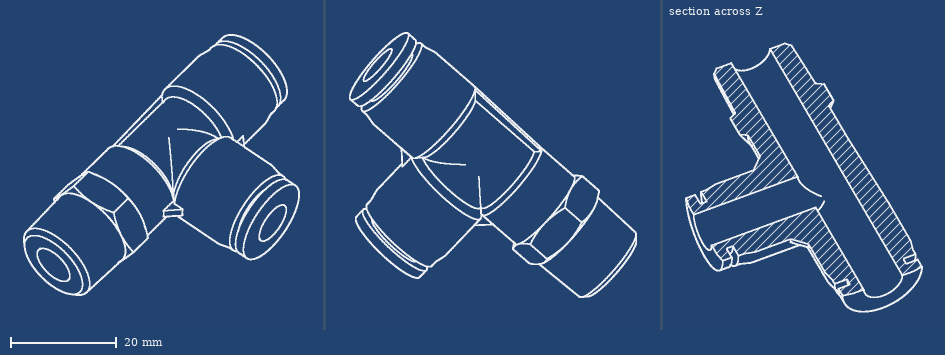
import cadquery as cq
import math

total_length = 59.75
port_reach = 25.75
branch_y = total_length - port_reach

sleeve_radius = 18.0 / 2
neck_radius = 7.5
nose_radius = 8.5
collar_radius = 8.3
collar_stem_radius = 5.9
collar_face_radius = 6.35
sleeve_straight = 9.9
sleeve_taper = 2.1
nose_length = 1.2
collar_gap = 1.25
collar_crown = 0.35

hex_across_flats = 16.95
hex_start = 11.2
hex_width = 5.85
hex_chamfer_angle = 30.0
thread_radius = 8.4
thread_taper = 1 / 16
thread_chamfer = 0.95
bore_radius = 4.0

web_thickness = 2.0
gusset_leg = 2.5

body_radius = hex_across_flats / 2
body_end = branch_y - body_radius
hex_end = hex_start + hex_width
hex_corner_radius = body_radius / math.cos(math.pi / 6)
sleeve_start = sleeve_radius


def revolve_run(profile):
    """Turn (radius, y) points around the Y axis."""
    return cq.Workplane("XY").polyline(profile).close().revolve(360, (0, 0, 0), (0, 1, 0))


def web(points):
    """Flat plate outlined in X and Y, centred on Z = 0."""
    return cq.Workplane("XY").polyline(points).close().extrude(web_thickness / 2, both=True)


def tube_port():
    """Neck, sleeve and release collar along +Y, starting at the tee centre."""
    taper_start = sleeve_start + sleeve_straight
    nose_start = taper_start + sleeve_taper
    nose_end = nose_start + nose_length
    collar_start = nose_end + collar_gap
    return revolve_run([
        (0, 0),
        (neck_radius, 0),
        (neck_radius, neck_radius),
        (sleeve_radius, sleeve_start),
        (sleeve_radius, taper_start),
        (nose_radius, nose_start),
        (nose_radius, nose_end),
        (collar_stem_radius, nose_end),
        (collar_stem_radius, collar_start),
        (collar_radius, collar_start),
        (collar_radius, port_reach - collar_crown),
        (collar_face_radius, port_reach),
        (0, port_reach),
    ])


def threaded_body():
    """Tapered thread envelope and round body up to the tee centre."""
    tip_radius = thread_radius - (hex_start - thread_chamfer) * thread_taper / 2
    return revolve_run([
        (0, 0),
        (tip_radius - thread_chamfer, 0),
        (tip_radius, thread_chamfer),
        (thread_radius, hex_start),
        (body_radius, hex_start),
        (body_radius, body_end),
        (neck_radius, branch_y - neck_radius),
        (neck_radius, branch_y),
        (0, branch_y),
    ])


def hexagon():
    """Wrench hexagon with corners on X, both faces chamfered down to the flats."""
    chamfer_height = (hex_corner_radius - body_radius) * math.tan(math.radians(hex_chamfer_angle))
    prism = (
        cq.Workplane("XZ", origin=(0, hex_start, 0))
        .polygon(6, 2 * hex_corner_radius)
        .extrude(-hex_width)
    )
    chamfer_envelope = revolve_run([
        (0, hex_start),
        (body_radius, hex_start),
        (hex_corner_radius, hex_start + chamfer_height),
        (hex_corner_radius, hex_end - chamfer_height),
        (body_radius, hex_end),
        (0, hex_end),
    ])
    return prism.intersect(chamfer_envelope)


def back_web():
    """Web opposite the branch, joining the body shoulder to the run sleeve."""
    sleeve_y = branch_y + sleeve_start
    return web([(0, body_end), (-body_radius, body_end), (-sleeve_radius, sleeve_y), (0, sleeve_y)])


def gusset(run_radius, side):
    """45 degree corner web between the branch sleeve and the run, on the +Y (1) or -Y (-1) side."""
    full_leg = gusset_leg + (run_radius - neck_radius) + (sleeve_radius - neck_radius)
    corner_y = branch_y + side * neck_radius
    return web([
        (neck_radius, corner_y),
        (neck_radius + full_leg, corner_y),
        (neck_radius, corner_y + side * full_leg),
    ])


def bore(length):
    """Bore cutter along +Y from the origin."""
    return cq.Workplane("XZ").circle(bore_radius).extrude(-length)


def place_on_branch(shape):
    """Turn a shape built along +Y to +X and move it to the branch axis."""
    return shape.rotate((0, 0, 0), (0, 0, 1), -90).translate((0, branch_y, 0))


result = (
    threaded_body()
    .union(hexagon())
    .union(tube_port().translate((0, branch_y, 0)))
    .union(place_on_branch(tube_port()))
    .union(back_web())
    .union(gusset(sleeve_radius, 1))
    .union(gusset(body_radius, -1))
    .cut(bore(total_length))
    .cut(place_on_branch(bore(port_reach)))
)